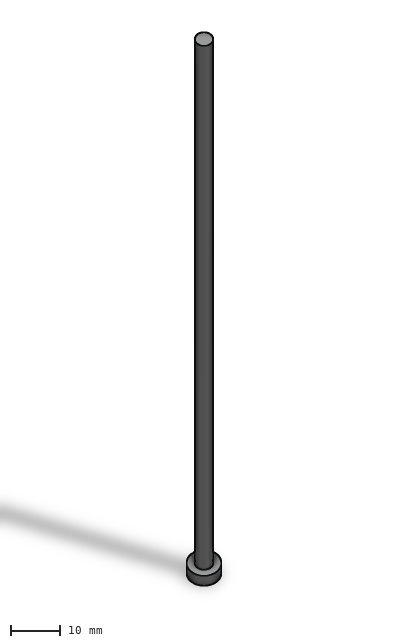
import cadquery as cq

total_length = 160.0
head_diameter = 7.0
head_height = 3.0
shaft_diameter = 3.7


def make_head():
    """Round head with its underside at Z = 0."""
    return cq.Workplane("XY").circle(head_diameter / 2).extrude(head_height)


def make_shaft():
    """Round shaft running the full length, concentric with the head."""
    return cq.Workplane("XY").circle(shaft_diameter / 2).extrude(total_length)


result = make_head().union(make_shaft())